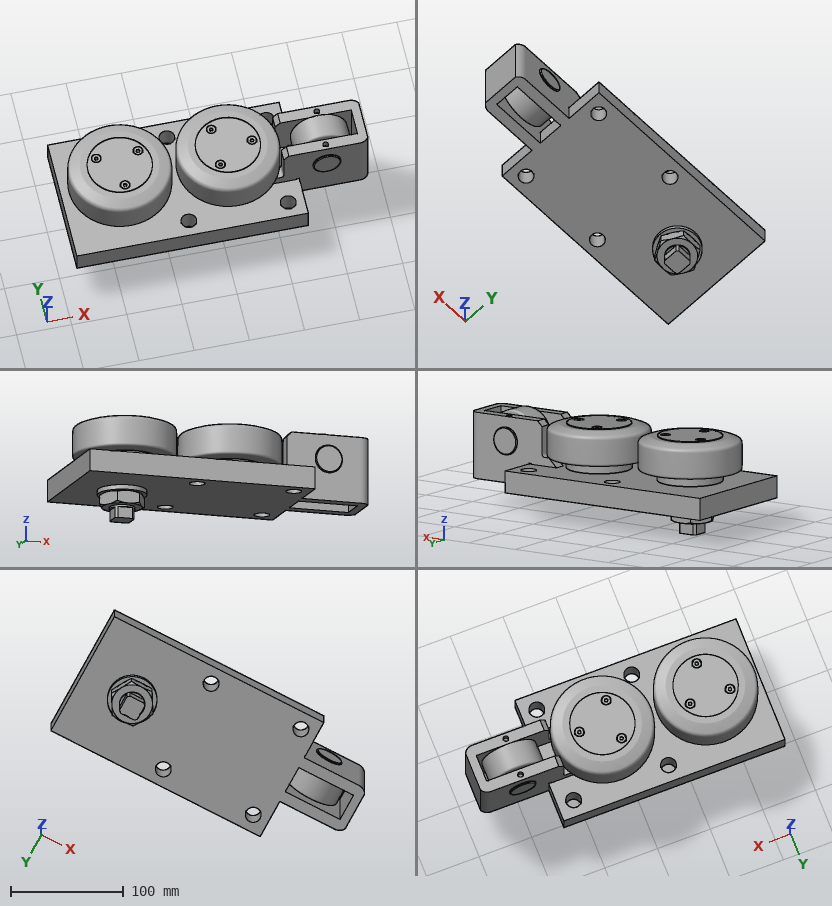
import cadquery as cq
import math


plate_length = 210.0
plate_width = 120.0
plate_thickness = 20.0
bolt_hole_diameter = 14.0
bolt_hole_columns = (104.8, 195.0)
bolt_hole_y = 45.0

first_roller_x = 52.1
roller_pitch = 98.0
roller_radius = 46.1
tread_crown = 0.3
roller_bottom = 30.0
roller_top = 60.0
bottom_edge_fillet = 2.0
tread_top = 53.5
shoulder_radius = 43.5
shoulder_z = 57.3
shoulder_bulge = 0.8
top_face_radius = 35.2
dome_bulge = 0.3
neck_diameter = 59.0
neck_chamfer = 0.5

lid_diameter = 58.0
lid_height = 0.8
screw_count = 3
screw_circle_radius = 21.8
screw_recess_diameter = 8.7
screw_head_diameter = 8.0
screw_recess_depth = 2.7
screw_socket_diameter = 3.3
screw_socket_depth = 1.5
first_screw_angles = (30, 0)

eccentricity = 2.5
adjuster_x = first_roller_x - eccentricity
collar_diameter = 44.0
collar_height = 4.0
nut_across_flats = 36.0
nut_height = 11.5
nut_bevel_angle = 30
stud_diameter = 22.7
stud_projection = 1.6
square_size = 18.0
square_length = 9.8

fork_end = 273.0
fork_width = 46.1
fork_top = 60.0
fork_wall_x = 195.7
fork_top_chamfer = 4.6
toe_start = 180.2
toe_height = 8.0
toe_fillet = 2.7
corner_relief_length = 2.5
corner_relief_height = 0.8
slot_width = 25.5
slot_end = 264.8
end_rounding_length = 8.2
end_rounding_depth = 4.6
set_screw_diameter = 5.0
set_screw_depth = 6.0
drill_point_angle = 118

axle_x = 234.8
axle_z = 38.0
axle_diameter = 25.0
axle_length = 49.1
axle_chamfer = 0.8
wheel_radius = 26.0
wheel_crown = 0.3
wheel_width = 24.0
wheel_edge_fillet = 1.6


def cylinder(x, y, z, diameter, height):
    """Upright cylinder standing on height z."""
    return cq.Workplane("XY", origin=(x, y, z)).circle(diameter / 2).extrude(height)


def make_plate():
    """Base plate with its four bolt holes."""
    plate = cq.Workplane("XY").box(
        plate_length, plate_width, plate_thickness, centered=(False, True, False)
    )
    for x in bolt_hole_columns:
        for y in (-bolt_hole_y, bolt_hole_y):
            plate = plate.cut(cylinder(x, y, 0, bolt_hole_diameter, plate_thickness))
    return plate


def bowed_midpoint(start, end, bulge):
    """Midpoint of two (radius, z) points, pushed outward from the chord by the bulge."""
    chord_r = end[0] - start[0]
    chord_z = end[1] - start[1]
    chord = math.hypot(chord_r, chord_z)
    return (
        (start[0] + end[0]) / 2 + bulge * chord_z / chord,
        (start[1] + end[1]) / 2 - bulge * chord_r / chord,
    )


def make_roller(x, first_screw_angle):
    """Domed roller with its neck, lid and screws."""
    neck_radius = neck_diameter / 2
    fillet_mid_inset = bottom_edge_fillet * (1 - math.sqrt(0.5))
    fillet_mid_radius = roller_radius - fillet_mid_inset
    fillet_mid_z = roller_bottom + fillet_mid_inset
    tread_start = (roller_radius, roller_bottom + bottom_edge_fillet)
    tread_end = (roller_radius, tread_top)
    shoulder = (shoulder_radius, shoulder_z)
    top_edge = (top_face_radius, roller_top)
    roller = (
        cq.Workplane("YZ")
        .moveTo(0, plate_thickness)
        .lineTo(neck_radius - neck_chamfer, plate_thickness)
        .lineTo(neck_radius, plate_thickness + neck_chamfer)
        .lineTo(neck_radius, roller_bottom - neck_chamfer)
        .lineTo(neck_radius - neck_chamfer, roller_bottom)
        .lineTo(roller_radius - bottom_edge_fillet, roller_bottom)
        .threePointArc((fillet_mid_radius, fillet_mid_z), tread_start)
        .threePointArc(bowed_midpoint(tread_start, tread_end, tread_crown), tread_end)
        .threePointArc(bowed_midpoint(tread_end, shoulder, shoulder_bulge), shoulder)
        .threePointArc(bowed_midpoint(shoulder, top_edge, dome_bulge), top_edge)
        .lineTo(lid_diameter / 2, roller_top)
        .lineTo(lid_diameter / 2, roller_top + lid_height)
        .lineTo(0, roller_top + lid_height)
        .close()
        .revolve(360, (0, 0, 0), (0, 1, 0))
        .translate((x, 0, 0))
    )
    for index in range(screw_count):
        angle = math.radians(first_screw_angle + index * 360 / screw_count)
        screw_x = x + screw_circle_radius * math.cos(angle)
        screw_y = screw_circle_radius * math.sin(angle)
        roller = cut_screw(roller, screw_x, screw_y)
    return roller


def cut_screw(roller, x, y):
    """Ring gap around a flush screw head, and the hexagon socket in the head."""
    lid_top = roller_top + lid_height
    gap = (
        cq.Workplane("XY", origin=(x, y, lid_top))
        .circle(screw_recess_diameter / 2)
        .circle(screw_head_diameter / 2)
        .extrude(-screw_recess_depth)
    )
    socket = (
        cq.Workplane("XY", origin=(x, y, lid_top))
        .polygon(6, screw_socket_diameter)
        .extrude(-screw_socket_depth)
    )
    return roller.cut(gap).cut(socket)


def make_adjuster():
    """Collar, nut and squared stud below the plate, off centre from the first roller."""
    nut_top = -collar_height
    nut_bottom = nut_top - nut_height
    square_top = nut_bottom - stud_projection
    collar = cylinder(adjuster_x, 0, nut_top, collar_diameter, collar_height)
    stud = cylinder(adjuster_x, 0, square_top, stud_diameter, stud_projection)
    square = (
        cylinder(adjuster_x, 0, square_top, stud_diameter, -square_length)
        .intersect(
            cq.Workplane("XY", origin=(adjuster_x, 0, square_top))
            .rect(square_size, square_size)
            .extrude(-square_length)
        )
    )
    return collar.union(make_nut(nut_bottom)).union(stud).union(square)


def make_nut(bottom):
    """Hexagon nut with its corners bevelled at both faces."""
    flat_radius = nut_across_flats / 2
    corner_radius = flat_radius / math.cos(math.pi / 6)
    bevel_height = (corner_radius - flat_radius) * math.tan(math.radians(nut_bevel_angle))
    hexagon = (
        cq.Workplane("XY", origin=(adjuster_x, 0, bottom))
        .polygon(6, 2 * corner_radius)
        .extrude(nut_height)
    )
    bevelled_envelope = (
        cq.Workplane("XZ", origin=(adjuster_x, 0, bottom))
        .moveTo(0, 0)
        .lineTo(flat_radius, 0)
        .lineTo(corner_radius, bevel_height)
        .lineTo(corner_radius, nut_height - bevel_height)
        .lineTo(flat_radius, nut_height)
        .lineTo(0, nut_height)
        .close()
        .revolve(360, (0, 0, 0), (0, 1, 0))
    )
    return hexagon.intersect(bevelled_envelope)


def make_fork():
    """Two cheeks joined at the far end, resting on the plate with their toes."""
    toe_top = plate_thickness + toe_height
    relief_top = plate_thickness + corner_relief_height
    relief_start = plate_length - corner_relief_length
    fillet_centre = (fork_wall_x - toe_fillet, toe_top + toe_fillet)
    fillet_reach = toe_fillet * math.sqrt(0.5)
    side_profile = (
        cq.Workplane("XZ", origin=(0, fork_width / 2, 0))
        .moveTo(toe_start, plate_thickness)
        .lineTo(toe_start + toe_height, toe_top)
        .lineTo(fillet_centre[0], toe_top)
        .threePointArc(
            (fillet_centre[0] + fillet_reach, fillet_centre[1] - fillet_reach),
            (fork_wall_x, fillet_centre[1]),
        )
        .lineTo(fork_wall_x, fork_top - fork_top_chamfer)
        .lineTo(fork_wall_x + fork_top_chamfer, fork_top)
        .lineTo(fork_end, fork_top)
        .lineTo(fork_end, 0)
        .lineTo(plate_length, 0)
        .lineTo(plate_length, relief_top)
        .lineTo(relief_start, relief_top)
        .lineTo(relief_start, plate_thickness)
        .close()
        .extrude(fork_width)
    )
    return side_profile.intersect(make_fork_outline())


def make_fork_outline():
    """Plan of the fork: rounded far corners and a slot open towards the rollers."""
    half_width = fork_width / 2
    rounding_start = fork_end - end_rounding_length
    end_half_width = half_width - end_rounding_depth
    rounding_radius = (end_rounding_length**2 + end_rounding_depth**2) / (2 * end_rounding_depth)
    half_sweep = math.asin(end_rounding_length / rounding_radius) / 2
    rounding_mid_x = rounding_start + rounding_radius * math.sin(half_sweep)
    rounding_mid_y = half_width - rounding_radius * (1 - math.cos(half_sweep))
    return (
        cq.Workplane("XY")
        .moveTo(toe_start, -half_width)
        .lineTo(rounding_start, -half_width)
        .threePointArc((rounding_mid_x, -rounding_mid_y), (fork_end, -end_half_width))
        .lineTo(fork_end, end_half_width)
        .threePointArc((rounding_mid_x, rounding_mid_y), (rounding_start, half_width))
        .lineTo(toe_start, half_width)
        .lineTo(toe_start, slot_width / 2)
        .lineTo(slot_end, slot_width / 2)
        .lineTo(slot_end, -slot_width / 2)
        .lineTo(toe_start, -slot_width / 2)
        .close()
        .extrude(fork_top)
    )


def make_set_screw_hole(y):
    """Blind hole in the top of a cheek, ending in a drill point."""
    radius = set_screw_diameter / 2
    shoulder = fork_top - set_screw_depth
    tip = shoulder - radius / math.tan(math.radians(drill_point_angle / 2))
    return (
        cq.Workplane("YZ", origin=(axle_x, y, 0))
        .moveTo(0, fork_top)
        .lineTo(radius, fork_top)
        .lineTo(radius, shoulder)
        .lineTo(0, tip)
        .close()
        .revolve(360, (0, 0, 0), (0, 1, 0))
    )


def cut_axle_seat(fork):
    """Axle bore through both cheeks, and a set-screw hole above it in each cheek."""
    bore = (
        cq.Workplane("XZ", origin=(axle_x, fork_width / 2, axle_z))
        .circle(axle_diameter / 2)
        .extrude(fork_width)
    )
    fork = fork.cut(bore)
    cheek_middle = (fork_width + slot_width) / 4
    for y in (-cheek_middle, cheek_middle):
        fork = fork.cut(make_set_screw_hole(y))
    return fork


def make_carriage():
    """Plate, main rollers, adjuster and fork as one solid."""
    carriage = make_plate().union(make_adjuster())
    for index, first_screw_angle in enumerate(first_screw_angles):
        roller_x = first_roller_x + index * roller_pitch
        carriage = carriage.union(make_roller(roller_x, first_screw_angle))
    return carriage.union(cut_axle_seat(make_fork()))


def make_guide_wheel():
    """Crowned wheel in one piece with its axle."""
    half_width = wheel_width / 2
    edge_radius = wheel_radius - wheel_crown
    wheel = (
        cq.Workplane("XY")
        .moveTo(0, -half_width)
        .lineTo(edge_radius, -half_width)
        .threePointArc((wheel_radius, 0), (edge_radius, half_width))
        .lineTo(0, half_width)
        .close()
        .revolve(360, (0, 0, 0), (0, 1, 0))
        .faces("<Y or >Y")
        .edges()
        .fillet(wheel_edge_fillet)
    )
    axle = (
        cq.Workplane("XZ", origin=(0, axle_length / 2, 0))
        .circle(axle_diameter / 2)
        .extrude(axle_length)
        .faces("<Y or >Y")
        .chamfer(axle_chamfer)
    )
    return wheel.union(axle).translate((axle_x, 0, axle_z))


carriage = make_carriage()
guide_wheel = make_guide_wheel()

result = cq.Compound.makeCompound([carriage.val(), guide_wheel.val()])